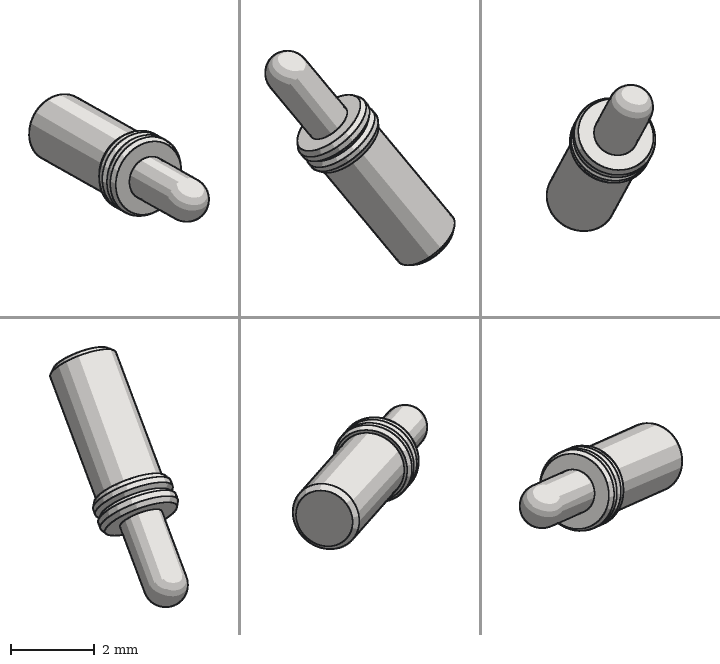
import cadquery as cq
import math

total_length = 6.5

barrel_radius = 0.84
barrel_length = 3.45
barrel_chamfer = 0.125

collar_radius = 0.99
collar_length = 0.77
collar_edge_radius = 0.915
collar_bevel_length = 0.13
groove_depth = 0.1
groove_half_width = 0.105
groove_offset = 0.38

plunger_radius = 0.535

collar_start = barrel_length
collar_end = collar_start + collar_length
groove_center = collar_start + groove_offset
tip_start = total_length - plunger_radius

tip_mid_offset = plunger_radius * math.sqrt(0.5)


def half_profile():
    """Closed XZ outline of one half of the part, bounded by the X axis."""
    profile = cq.Workplane("XZ").moveTo(0, 0)

    profile = (
        profile.lineTo(0, barrel_radius - barrel_chamfer)
        .lineTo(barrel_chamfer, barrel_radius)
        .lineTo(collar_start, barrel_radius)
    )

    profile = (
        profile.lineTo(collar_start, collar_edge_radius)
        .lineTo(collar_start + collar_bevel_length, collar_radius)
        .lineTo(groove_center - groove_half_width, collar_radius)
        .lineTo(groove_center, collar_radius - groove_depth)
        .lineTo(groove_center + groove_half_width, collar_radius)
        .lineTo(collar_end - collar_bevel_length, collar_radius)
        .lineTo(collar_end, collar_edge_radius)
    )

    profile = (
        profile.lineTo(collar_end, plunger_radius)
        .lineTo(tip_start, plunger_radius)
        .threePointArc(
            (tip_start + tip_mid_offset, tip_mid_offset),
            (total_length, 0),
        )
    )
    return profile.close()


result = half_profile().revolve(360, (0, 0, 0), (1, 0, 0))